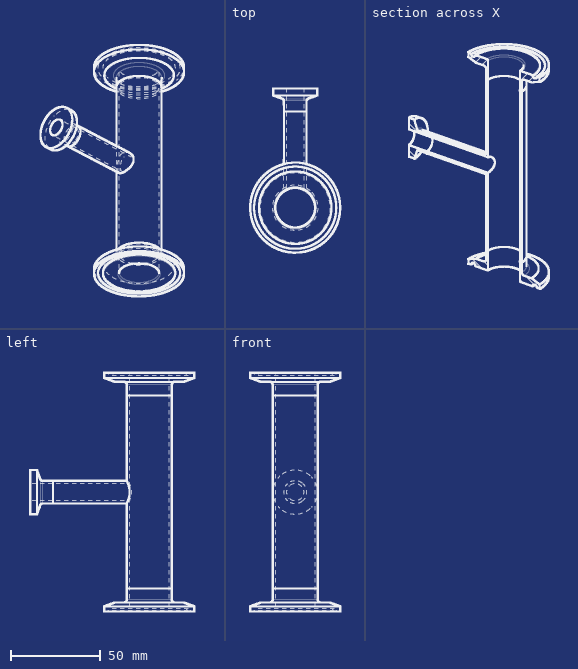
import cadquery as cq
import math

run_length = 133.4
branch_reach = 66.5
ferrule_length = 12.8
wall = 1.6

run_radius = 12.7
run_bore_radius = run_radius - wall
run_flange_radius = 25.2
run_rim_thickness = 3.0
run_flange_thickness = 5.1
run_back_radius = 19.5
run_neck_fillet = 1.6
bore_lip_radius = 0.8

groove_center_radius = 21.6
groove_half_width = 1.9
groove_lip_radius = 0.5
groove_wall_run = 0.3
groove_wall_depth = 1.0
groove_depth = 1.6

branch_radius = 6.4
branch_bore_radius = branch_radius - wall
branch_flange_radius = 12.4
branch_rim_thickness = 3.9
branch_back_angle = 20.0
branch_neck_fillet = 1.1


def revolve_about_z(profile):
    """Revolve a closed (radius, height) profile a full turn about Z."""
    return profile.close().revolve(360, (0, 0, 0), (0, 1, 0))


def gasket_groove():
    """Ring-shaped cutter with a round floor and rounded edges, open at Z = 0."""
    inner = groove_center_radius - groove_half_width
    outer = groove_center_radius + groove_half_width
    floor_inset = groove_lip_radius + groove_wall_run
    lip_inset = groove_lip_radius * math.sqrt(0.5)
    lip_drop = groove_lip_radius * (1 - math.sqrt(0.5))
    return revolve_about_z(
        cq.Workplane("XZ")
        .moveTo(inner, 0)
        .threePointArc((inner + lip_inset, lip_drop), (inner + groove_lip_radius, groove_lip_radius))
        .lineTo(inner + floor_inset, groove_wall_depth)
        .threePointArc((groove_center_radius, groove_depth), (outer - floor_inset, groove_wall_depth))
        .lineTo(outer - groove_lip_radius, groove_lip_radius)
        .threePointArc((outer - lip_inset, lip_drop), (outer, 0))
    )


def run_ferrule():
    """Run ferrule with its sealing face at Z = 0 and its neck pointing to +Z."""
    fillet_end = run_flange_thickness + run_neck_fillet
    arc_offset = run_neck_fillet * (1 - math.sqrt(0.5))
    lip_offset = bore_lip_radius * (1 - math.sqrt(0.5))
    body = revolve_about_z(
        cq.Workplane("XZ")
        .moveTo(run_bore_radius + bore_lip_radius, 0)
        .lineTo(run_flange_radius, 0)
        .lineTo(run_flange_radius, run_rim_thickness)
        .lineTo(run_back_radius, run_flange_thickness)
        .lineTo(run_radius + run_neck_fillet, run_flange_thickness)
        .threePointArc(
            (run_radius + arc_offset, run_flange_thickness + arc_offset),
            (run_radius, fillet_end),
        )
        .lineTo(run_radius, ferrule_length)
        .lineTo(run_bore_radius, ferrule_length)
        .lineTo(run_bore_radius, bore_lip_radius)
        .threePointArc(
            (run_bore_radius + lip_offset, lip_offset),
            (run_bore_radius + bore_lip_radius, 0),
        )
    )
    return body.cut(gasket_groove())


def branch_ferrule():
    """Branch ferrule with its flat face at Z = 0 and its neck pointing to +Z."""
    back_height = (branch_flange_radius - branch_radius) * math.tan(math.radians(branch_back_angle))
    neck_start = branch_rim_thickness + back_height
    body = revolve_about_z(
        cq.Workplane("XZ")
        .moveTo(branch_bore_radius, 0)
        .lineTo(branch_flange_radius, 0)
        .lineTo(branch_flange_radius, branch_rim_thickness)
        .lineTo(branch_radius, neck_start)
        .lineTo(branch_radius, ferrule_length)
        .lineTo(branch_bore_radius, ferrule_length)
    )
    corner_margin = branch_neck_fillet / 2
    corner_span = branch_radius + corner_margin
    neck_corner = cq.selectors.BoxSelector(
        (-corner_span, -corner_span, neck_start - corner_margin),
        (corner_span, corner_span, neck_start + corner_margin),
        boundingbox=True,
    )
    return body.edges(neck_corner).fillet(branch_neck_fillet)


def tee_pipe():
    """Run pipe and branch pipe in one piece, with connected bores."""
    pipe_length = run_length - 2 * ferrule_length
    branch_length = branch_reach - ferrule_length
    run = cq.Workplane("XY").circle(run_radius).extrude(pipe_length / 2, both=True)
    run_bore = cq.Workplane("XY").circle(run_bore_radius).extrude(pipe_length / 2, both=True)
    branch = cq.Workplane("XZ").circle(branch_radius).extrude(-branch_length)
    branch_bore = cq.Workplane("XZ").circle(branch_bore_radius).extrude(-branch_length)
    return run.union(branch).cut(run_bore).cut(branch_bore)


tee = tee_pipe()

run_ferrules = []
for turn in (0, 180):
    placed = run_ferrule().translate((0, 0, -run_length / 2)).rotate((0, 0, 0), (1, 0, 0), turn)
    run_ferrules.append(placed.val())

branch_end = branch_ferrule().rotate((0, 0, 0), (1, 0, 0), 90).translate((0, branch_reach, 0))

result = cq.Compound.makeCompound([tee.val(), *run_ferrules, branch_end.val()])